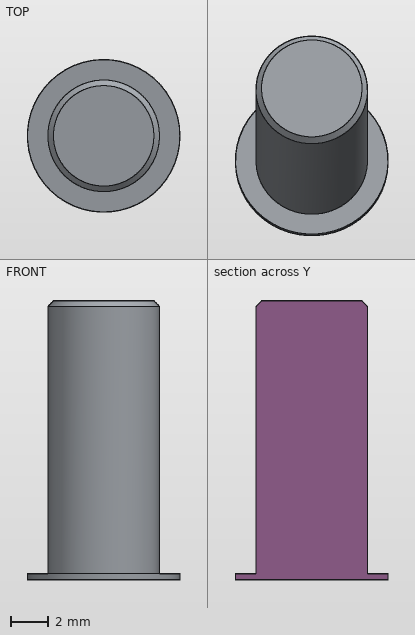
import cadquery as cq

total_height = 15.0
flange_diameter = 8.2
flange_thickness = 0.35
shank_diameter = 6.0
tip_chamfer = 0.3

flange = cq.Workplane("XY").circle(flange_diameter / 2).extrude(flange_thickness)

shank = (
    cq.Workplane("XY")
    .circle(shank_diameter / 2)
    .extrude(total_height)
    .faces(">Z")
    .chamfer(tip_chamfer)
)

result = flange.union(shank)